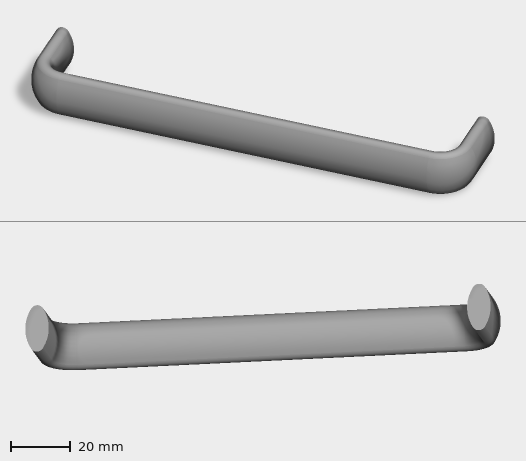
import cadquery as cq
import math

hole_spacing = 150.0
projection = 30.0
section_thickness = 8.0
section_height = 16.0
side_radius = 13.0
bend_radius = 9.0

half_span = hole_spacing / 2
half_thickness = section_thickness / 2
half_height = section_height / 2
grip_y = half_thickness - projection

side_center = side_radius - half_thickness
tip_radius = (side_radius**2 - side_center**2 - half_height**2) / (2 * (side_radius - half_height))
tip_center = half_height - tip_radius
side_half_angle = math.atan2(tip_center, side_center)
joint_x = side_radius * math.cos(side_half_angle) - side_center
joint_z = side_radius * math.sin(side_half_angle)


def make_path():
    """Centreline of the handle, from the left mounting face to the right one."""
    bend_offset = bend_radius * (1 - math.sqrt(0.5))
    leg_end_y = grip_y + bend_radius
    grip_end_x = half_span - bend_radius
    bend_mid_x = half_span - bend_offset
    bend_mid_y = grip_y + bend_offset
    return (
        cq.Workplane("XY")
        .moveTo(-half_span, 0)
        .lineTo(-half_span, leg_end_y)
        .threePointArc((-bend_mid_x, bend_mid_y), (-grip_end_x, grip_y))
        .lineTo(grip_end_x, grip_y)
        .threePointArc((bend_mid_x, bend_mid_y), (half_span, leg_end_y))
        .lineTo(half_span, 0)
    )


def make_section():
    """Section on the left mounting face: two broad side arcs joined by two small tip arcs."""
    return (
        cq.Workplane("XZ", origin=(-half_span, 0, 0))
        .moveTo(joint_x, -joint_z)
        .threePointArc((half_thickness, 0), (joint_x, joint_z))
        .threePointArc((0, half_height), (-joint_x, joint_z))
        .threePointArc((-half_thickness, 0), (-joint_x, -joint_z))
        .threePointArc((0, -half_height), (joint_x, -joint_z))
        .close()
    )


result = make_section().sweep(make_path())